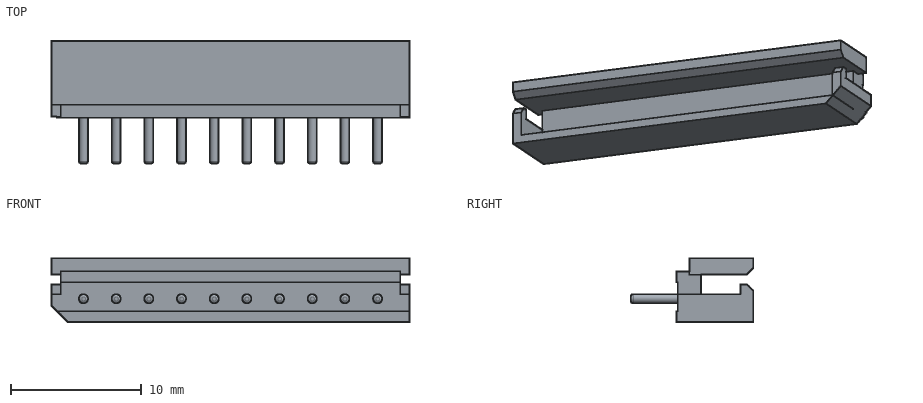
import cadquery as cq

length = 27.4
depth = 5.9
height = 4.9

plate_depth = 4.9
plate_thickness = 1.25
step_thickness = 1.0

front_wall = 1.9
end_wall = 0.7
floor_thickness = 0.6
ledge_z = 2.15

lip_depth = 1.0
lip_top_z = 2.9
lip_chamfer = 0.5

key_chamfer = 1.25

groove_depth = 0.1
groove_bottom_z = 0.85
groove_top_z = 3.05

pin_count = 10
pin_pitch = 2.5
pin_diameter = 0.7
pin_z = 1.8
pin_tip_y = -3.5
pin_tip_round = 0.2

plate_bottom_z = height - plate_thickness
step_z = height - step_thickness
cavity_length = length - 2 * end_wall


def box(size_x, y_min, y_max, z_min, z_max):
    """Block centred in X between the given Y and Z limits."""
    block = cq.Workplane("XY").box(size_x, y_max - y_min, z_max - z_min, centered=(True, False, False))
    return block.translate((0, y_min, z_min))


def along_x(points):
    """Full-length bar with a (Y, Z) outline."""
    return cq.Workplane("YZ").polyline(points).close().extrude(length / 2, both=True)


def make_plate():
    return along_x([
        (depth - plate_depth, plate_bottom_z),
        (depth - plate_depth, height),
        (depth, height),
        (depth, plate_bottom_z + lip_chamfer),
        (depth - lip_chamfer, plate_bottom_z),
    ])


def make_base():
    """Lower body with end walls and latch lips, hollow between the end walls."""
    base = along_x([
        (0, 0),
        (0, ledge_z),
        (depth - lip_depth, ledge_z),
        (depth - lip_depth, lip_top_z),
        (depth - lip_chamfer, lip_top_z),
        (depth, lip_top_z - lip_chamfer),
        (depth, 0),
    ])
    base = base.edges("|Y and <X and <Z").chamfer(key_chamfer)
    return base.cut(box(cavity_length, front_wall, depth, floor_thickness, lip_top_z))


def make_housing():
    wall = box(cavity_length, 0, front_wall, ledge_z, step_z)
    groove = box(length, 0, groove_depth, groove_bottom_z, groove_top_z)
    return make_base().union(wall).union(make_plate()).cut(groove)


def make_pin(x):
    """Pin from the cavity side of the wall to its rounded tip."""
    pin = cq.Workplane("XZ").circle(pin_diameter / 2).extrude(front_wall - pin_tip_y)
    pin = pin.faces("<Y").edges().fillet(pin_tip_round)
    return pin.translate((x, front_wall, pin_z))


result = make_housing()
for index in range(pin_count):
    result = result.union(make_pin((index - (pin_count - 1) / 2) * pin_pitch))